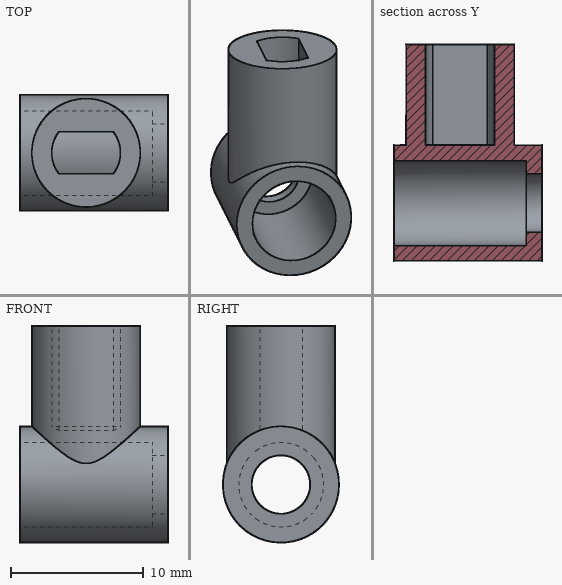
import cadquery as cq

sleeve_diameter = 8.8
sleeve_length = 11.2
sleeve_start_x = -5.0

wide_bore_diameter = 6.4
narrow_bore_diameter = 4.4
end_wall = (sleeve_diameter - wide_bore_diameter) / 2
wide_bore_depth = sleeve_length - end_wall

post_diameter = 8.2
post_top_z = 12.0
hole_diameter = 5.2
hole_across_flats = 3.2


def x_cylinder(diameter, length):
    """Cylinder along +X that starts at the sleeve's -X face."""
    start_plane = cq.Workplane("YZ", origin=(sleeve_start_x, 0, 0))
    return start_plane.circle(diameter / 2).extrude(length)


def z_cylinder(diameter):
    """Cylinder from the sleeve axis up to the top of the post."""
    return cq.Workplane("XY").circle(diameter / 2).extrude(post_top_z)


def double_flat_hole():
    """Round hole volume narrowed by two flats that face along Y."""
    flats = cq.Workplane("XY").rect(hole_diameter, hole_across_flats).extrude(post_top_z)
    return z_cylinder(hole_diameter).intersect(flats)


sleeve = x_cylinder(sleeve_diameter, sleeve_length)
wide_bore = x_cylinder(wide_bore_diameter, wide_bore_depth)
narrow_bore = x_cylinder(narrow_bore_diameter, sleeve_length)

hollow_post = z_cylinder(post_diameter).cut(double_flat_hole())
result = hollow_post.union(sleeve).cut(wide_bore).cut(narrow_bore)